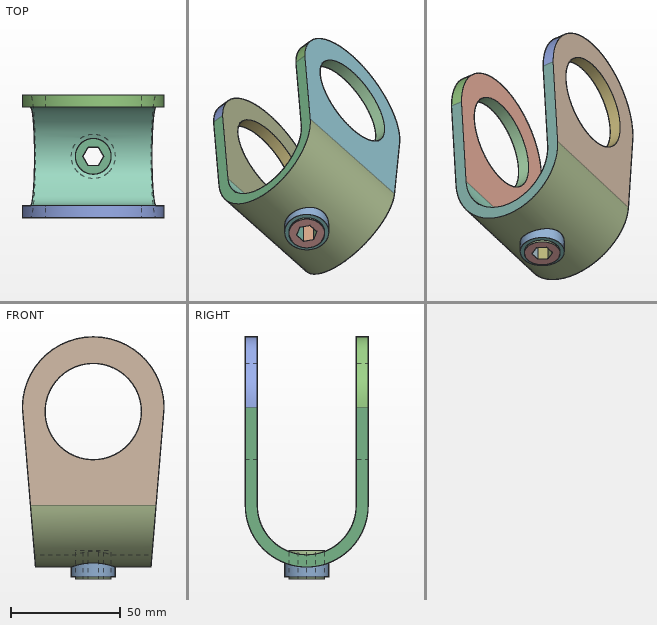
import cadquery as cq
import math

fork_width = 56.4
strap_thickness = 5.6
eye_radius = 32.5
eye_bore_diameter = 44.0
eye_bore_drop = 1.8
base_width = 53.0
overall_height = 111.0

collar_diameter = 20.2
collar_length = 4.5
plug_diameter = 16.4
plug_length = 13.1
collar_bottom = 1.0
hex_across_flats = 8.2

outer_bend_radius = fork_width / 2
inner_bend_radius = outer_bend_radius - strap_thickness
fork_bottom = collar_bottom + collar_length
bend_center_z = fork_bottom + outer_bend_radius
eye_center_z = overall_height - eye_radius
eye_bore_z = eye_center_z - eye_bore_drop
hex_across_corners = hex_across_flats / math.cos(math.pi / 6)


def u_section(radius, length):
    """U-shaped prism along X: a half-round bottom with straight sides up to the full height."""
    return (
        cq.Workplane("YZ")
        .moveTo(-radius, overall_height)
        .lineTo(-radius, bend_center_z)
        .threePointArc((0, bend_center_z - radius), (radius, bend_center_z))
        .lineTo(radius, overall_height)
        .close()
        .extrude(length / 2, both=True)
    )


def cheek_outline():
    """Tapered outline with a round top, extruded across both cheeks."""
    return (
        cq.Workplane("XZ")
        .moveTo(-base_width / 2, fork_bottom)
        .lineTo(-eye_radius, eye_center_z)
        .threePointArc((0, overall_height), (eye_radius, eye_center_z))
        .lineTo(base_width / 2, fork_bottom)
        .close()
        .extrude(fork_width / 2, both=True)
    )


def upright_cylinder(diameter, bottom, height):
    """Cylinder on the Z axis."""
    return cq.Workplane("XY").workplane(offset=bottom).circle(diameter / 2).extrude(height)


def make_fork():
    """Bent strap with two bored eyes and a collar, bored through to hold the plug."""
    strap_length = 2 * eye_radius
    inner_space = u_section(inner_bend_radius, strap_length)
    eye_bores = (
        cq.Workplane("XZ")
        .center(0, eye_bore_z)
        .circle(eye_bore_diameter / 2)
        .extrude(fork_width / 2, both=True)
    )
    collar = upright_cylinder(collar_diameter, collar_bottom, bend_center_z - collar_bottom)
    plug_bore = upright_cylinder(plug_diameter, collar_bottom, bend_center_z - collar_bottom)
    return (
        u_section(outer_bend_radius, strap_length)
        .intersect(cheek_outline())
        .union(collar)
        .cut(inner_space)
        .cut(eye_bores)
        .cut(plug_bore)
    )


def make_plug():
    """Round plug with a hexagonal hole right through it, two corners on the X axis."""
    hex_hole = cq.Workplane("XY").polygon(6, hex_across_corners).extrude(plug_length)
    return upright_cylinder(plug_diameter, 0, plug_length).cut(hex_hole)


fork = make_fork()
plug = make_plug()

result = cq.Compound.makeCompound([fork.solids().val(), plug.solids().val()])